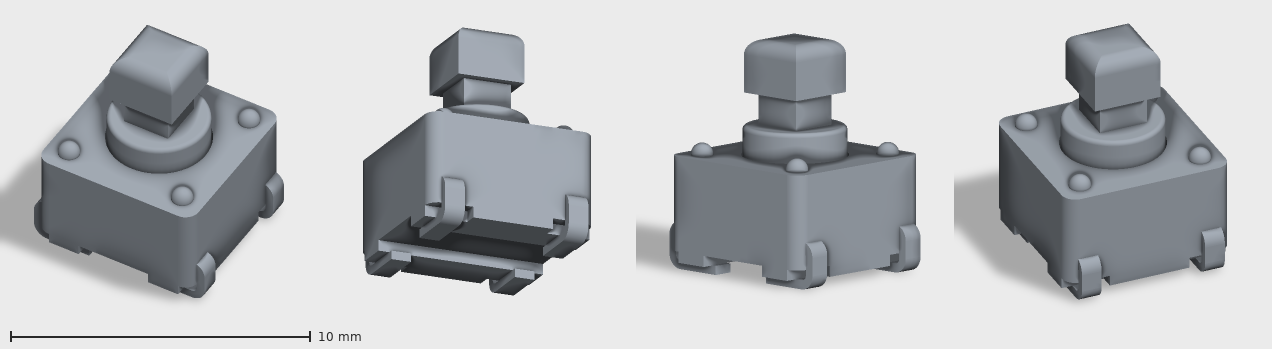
import cadquery as cq

TOTAL_HEIGHT = 7.8
SPAN_X = 6.6

BODY_SIDE = 6.0
BODY_TOP = 3.89
CORNER_RADIUS = 0.5
STEP_HEIGHT = 0.375
CHANNEL_WIDTH = 2.68
CORNER_CUT_X = 0.5
CORNER_CUT_Y = 1.545

RIVET_DIAMETER = 0.75
RIVET_PITCH = 4.38
RIVET_BASE_HEIGHT = 0.04

TERMINAL_WIDTH = 0.72
TERMINAL_PITCH_Y = 4.5
TERMINAL_INNER_GAP = 2.325
TERMINAL_HEIGHT = 1.62
BEND_RADIUS = 0.5

BUTTON_DIAMETER = 3.5
BUTTON_TOP = 4.9
BUTTON_FILLET = 0.15
RECESS_DIAMETER = 3.6
RECESS_DEPTH = 1.0
STEM_SIDE = 1.715
CAP_SIDE = 2.4
CAP_BOTTOM = 6.0
CAP_FILLET = 0.5

HALF_BODY = BODY_SIDE / 2
TERMINAL_THICKNESS = (SPAN_X - BODY_SIDE) / 2
BODY_BOTTOM = TERMINAL_THICKNESS
RECESS_FLOOR = BODY_TOP - RECESS_DEPTH
SIDES = (-1, 1)


def block(size_x, size_y, bottom, top):
    """Box centred on the Z axis between two heights."""
    return cq.Workplane("XY").workplane(offset=bottom).rect(size_x, size_y).extrude(top - bottom)


def cylinder(diameter, bottom, top):
    """Cylinder on the Z axis between two heights."""
    return cq.Workplane("XY").workplane(offset=bottom).circle(diameter / 2).extrude(top - bottom)


def make_terminal(side):
    """Strip terminal along the row Y = 0: foot, lower bend, upright and upper bend into the housing."""
    outer_x = SPAN_X / 2
    inner_x = outer_x - TERMINAL_THICKNESS
    bend_x = outer_x - BEND_RADIUS
    tip_x = TERMINAL_INNER_GAP / 2
    upper_bend_z = TERMINAL_HEIGHT - BEND_RADIUS
    inner_radius = BEND_RADIUS - TERMINAL_THICKNESS
    strip = (
        cq.Workplane("XZ")
        .moveTo(tip_x, 0)
        .lineTo(bend_x, 0)
        .radiusArc((outer_x, BEND_RADIUS), -BEND_RADIUS)
        .lineTo(outer_x, upper_bend_z)
        .radiusArc((bend_x, TERMINAL_HEIGHT), -BEND_RADIUS)
        .lineTo(bend_x, TERMINAL_HEIGHT - TERMINAL_THICKNESS)
        .radiusArc((inner_x, upper_bend_z), inner_radius)
        .lineTo(inner_x, BEND_RADIUS)
        .radiusArc((bend_x, TERMINAL_THICKNESS), inner_radius)
        .lineTo(tip_x, TERMINAL_THICKNESS)
        .close()
        .extrude(TERMINAL_WIDTH / 2, both=True)
    )
    return strip if side > 0 else strip.mirror("YZ")


def make_rivet_head():
    """Domed head standing on the housing top at the origin of X and Y."""
    radius = RIVET_DIAMETER / 2
    dome_base = BODY_TOP + RIVET_BASE_HEIGHT
    return (
        cq.Workplane("XZ")
        .moveTo(0, BODY_TOP)
        .lineTo(radius, BODY_TOP)
        .lineTo(radius, dome_base)
        .radiusArc((0, dome_base + radius), -radius)
        .close()
        .revolve(360, (0, 0, 0), (0, 1, 0))
    )


def make_housing():
    """Housing with its underside cut-outs, plunger recess, rivet heads and terminals."""
    housing = block(BODY_SIDE, BODY_SIDE, BODY_BOTTOM, BODY_TOP).edges("|Z").fillet(CORNER_RADIUS)

    step_top = BODY_BOTTOM + STEP_HEIGHT
    housing = housing.cut(block(CHANNEL_WIDTH, BODY_SIDE, BODY_BOTTOM, step_top))
    corner_cut = block(CORNER_CUT_X, CORNER_CUT_Y, BODY_BOTTOM, step_top)
    cut_x = HALF_BODY - CORNER_CUT_X / 2
    cut_y = HALF_BODY - CORNER_CUT_Y / 2
    for side_x in SIDES:
        for side_y in SIDES:
            housing = housing.cut(corner_cut.translate((side_x * cut_x, side_y * cut_y, 0)))

    housing = housing.cut(cylinder(RECESS_DIAMETER, RECESS_FLOOR, BODY_TOP))

    rivet_head = make_rivet_head()
    rivet_offset = RIVET_PITCH / 2
    terminal_y = TERMINAL_PITCH_Y / 2
    for side_x in SIDES:
        terminal = make_terminal(side_x)
        for side_y in SIDES:
            rivet_place = (side_x * rivet_offset, side_y * rivet_offset, 0)
            housing = housing.union(rivet_head.translate(rivet_place))
            housing = housing.union(terminal.translate((0, side_y * terminal_y, 0)))
    return housing


def make_plunger():
    """Round button standing on the recess floor, with a square stem and a rounded square cap."""
    button = cylinder(BUTTON_DIAMETER, RECESS_FLOOR, BUTTON_TOP).faces(">Z").edges().fillet(BUTTON_FILLET)
    stem = block(STEM_SIDE, STEM_SIDE, BUTTON_TOP, CAP_BOTTOM)
    cap = block(CAP_SIDE, CAP_SIDE, CAP_BOTTOM, TOTAL_HEIGHT).faces(">Z").edges().fillet(CAP_FILLET)
    return button.union(stem).union(cap)


housing = make_housing()
plunger = make_plunger()

result = cq.Compound.makeCompound([housing.val(), plunger.val()])